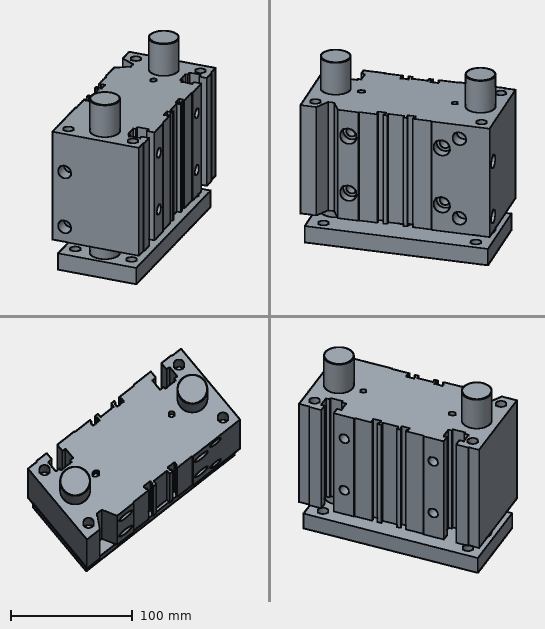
import cadquery as cq

PLATE_THICKNESS = 15.0
GAP = 13.0
HOUSING_HEIGHT = 99.0
ROD_PROJECTION = 29.5
HOUSING_BOTTOM = PLATE_THICKNESS + GAP
HOUSING_TOP = HOUSING_BOTTOM + HOUSING_HEIGHT
ROD_TOP = HOUSING_TOP + ROD_PROJECTION

HOUSING_WIDTH = 78.0
HOUSING_LENGTH = 162.0
PLATE_WIDTH = 70.0
PLATE_LENGTH = 157.0
SIDE_X = HOUSING_WIDTH / 2

RELIEF_DEPTH = 0.6
RELIEF_HALF_LENGTH = 31.5
END_RELIEF_START = 71.6

FLAT_DEPTH = 4.0
FLAT_HALF_LENGTH = 7.0
SENSOR_SLOT_Y = 12.8
SENSOR_MOUTH_WIDTH = 4.9
SENSOR_SLOT_WIDTH = 7.0
SENSOR_LIP_DEPTH = 2.6
SENSOR_SLOT_DEPTH = 5.8

GROOVE_Y = 58.2
GROOVE_MOUTH_WIDTH = 18.5
GROOVE_FLOOR_WIDTH = 5.2
GROOVE_DEPTH = 12.0

T_SLOT_Y = 55.0
T_NECK_WIDTH = 11.2
T_HEAD_WIDTH = 17.5
T_LIP_DEPTH = 6.8
T_HEAD_DEPTH = 16.8
T_SLOT_DEPTH = 18.8
T_HEAD_DRAFT = 0.6

ROD_DIAMETER = 25.0
ROD_Y = 62.0
ROD_POINTS = [(0, -ROD_Y), (0, ROD_Y)]
ROD_CHAMFER = 0.5
PISTON_ROD_DIAMETER = 20.0

CROSS_HOLE_Y = 40.0
CROSS_HOLE_HEIGHTS = (24.0, 76.0)
CROSS_HOLE_DIAMETER = 8.6
COUNTERBORE_DIAMETER = 14.0
COUNTERBORE_DEPTH = 9.0

PORT_DIAMETER = 11.5
PORT_DEPTH = 12.0
SIDE_PORT_Y = -55.0
SIDE_PORT_HEIGHTS = (13.8, 86.3)
END_PORT_X = -28.0
END_PORT_HEIGHTS = (13.8, 64.0)

CORNER_HOLE_X = 28.8
CORNER_HOLE_Y = 71.1
CORNER_HOLE_DIAMETER = 8.7
CORNER_HOLE_DEPTH = 25.0
PIN_HOLE_Y = 40.0
PIN_HOLE_DIAMETER = 5.0
PIN_SLOT_LENGTH = 6.0
PIN_SLOT_DEPTH = 5.0
PIN_HOLE_DEPTH = 10.0

PLATE_HOLE_X = 25.1
PLATE_HOLE_Y = 65.3
PLATE_HOLE_DIAMETER = 8.9


def prism(width, length, height, x, y, z):
    """Upright box centred on (x, y) that stands on height z."""
    return cq.Workplane("XY").box(width, length, height, centered=(True, True, False)).translate((x, y, z))


def side_pocket(side, depth, length, y):
    """Full-height pocket cut to a depth into one long side (side is -1 or 1)."""
    return prism(2 * depth, length, HOUSING_HEIGHT, side * SIDE_X, y, HOUSING_BOTTOM)


def vertical_cylinders(points, diameter, bottom, top):
    """Upright cylinders between two heights."""
    plane = cq.Workplane("XY", origin=(0, 0, bottom))
    return plane.pushPoints(points).circle(diameter / 2).extrude(top - bottom)


def cylinders_along_x(points, diameter, length):
    """Cylinders that enter the -X side; points are (y, height above the housing bottom)."""
    plane = cq.Workplane("YZ", origin=(-SIDE_X, 0, HOUSING_BOTTOM))
    return plane.pushPoints(points).circle(diameter / 2).extrude(length)


def lipped_slot(side, y, mouth_width, slot_width, lip_depth, slot_depth):
    """Full-height slot that widens behind a pair of lips."""
    mouth = side_pocket(side, slot_depth, mouth_width, y)
    head_depth = slot_depth - lip_depth
    head_x = side * (SIDE_X - lip_depth - head_depth / 2)
    return mouth.union(prism(head_depth, slot_width, HOUSING_HEIGHT, head_x, y, HOUSING_BOTTOM))


def upright_prism(outline):
    """Closed plan outline extruded over the full housing height."""
    return cq.Workplane("XY", origin=(0, 0, HOUSING_BOTTOM)).polyline(outline).close().extrude(HOUSING_HEIGHT)


def middle_relief(side):
    """Shallow relief along the middle of one long side, with ramped ends."""
    floor_x = side * (SIDE_X - RELIEF_DEPTH)
    floor_half_length = RELIEF_HALF_LENGTH - RELIEF_DEPTH
    return upright_prism([
        (side * SIDE_X, -RELIEF_HALF_LENGTH),
        (floor_x, -floor_half_length),
        (floor_x, floor_half_length),
        (side * SIDE_X, RELIEF_HALF_LENGTH),
    ])


def side_profile_cuts(housing):
    """Relief steps, central flat and sensor slots on both long sides."""
    for side in (-1, 1):
        housing = housing.cut(middle_relief(side))
        housing = housing.cut(side_pocket(side, FLAT_DEPTH, 2 * FLAT_HALF_LENGTH, 0))
        for y in (-SENSOR_SLOT_Y, SENSOR_SLOT_Y):
            housing = housing.cut(lipped_slot(
                side, y, SENSOR_MOUTH_WIDTH, SENSOR_SLOT_WIDTH, SENSOR_LIP_DEPTH, SENSOR_SLOT_DEPTH))
    end_relief_length = HOUSING_LENGTH / 2 - END_RELIEF_START
    end_relief_y = END_RELIEF_START + end_relief_length / 2
    for y in (-end_relief_y, end_relief_y):
        housing = housing.cut(side_pocket(1, RELIEF_DEPTH, end_relief_length, y))
    return housing


def tapered_groove():
    """Groove in the -X side that narrows towards its floor."""
    floor_x = -SIDE_X + GROOVE_DEPTH
    return upright_prism([
        (-SIDE_X, GROOVE_Y - GROOVE_MOUTH_WIDTH / 2),
        (floor_x, GROOVE_Y - GROOVE_FLOOR_WIDTH / 2),
        (floor_x, GROOVE_Y + GROOVE_FLOOR_WIDTH / 2),
        (-SIDE_X, GROOVE_Y + GROOVE_MOUTH_WIDTH / 2),
    ])


def mounting_t_slot(y):
    """T-slot in the +X side with a clearance channel behind its head, whose +Y wall leans out to the top."""
    slot = lipped_slot(1, y, T_NECK_WIDTH, T_HEAD_WIDTH, T_LIP_DEPTH, T_HEAD_DEPTH)
    slot = slot.union(side_pocket(1, T_SLOT_DEPTH, T_NECK_WIDTH, y))
    wall_y = y + T_HEAD_WIDTH / 2
    outline = [
        (y, HOUSING_BOTTOM),
        (wall_y, HOUSING_BOTTOM),
        (wall_y + T_HEAD_DRAFT, HOUSING_TOP),
        (y, HOUSING_TOP),
    ]
    lean = (
        cq.Workplane("YZ", origin=(SIDE_X - T_HEAD_DEPTH, 0, 0))
        .polyline(outline)
        .close()
        .extrude(T_HEAD_DEPTH - T_LIP_DEPTH)
    )
    return slot.union(lean)


def cross_holes():
    """Holes through the housing along X, counterbored from the -X side."""
    points = [(y, z) for y in (-CROSS_HOLE_Y, CROSS_HOLE_Y) for z in CROSS_HOLE_HEIGHTS]
    through = cylinders_along_x(points, CROSS_HOLE_DIAMETER, HOUSING_WIDTH)
    return through.union(cylinders_along_x(points, COUNTERBORE_DIAMETER, COUNTERBORE_DEPTH))


def air_ports():
    """Two blind ports in the -X side and two in the -Y end."""
    side_ports = cylinders_along_x([(SIDE_PORT_Y, z) for z in SIDE_PORT_HEIGHTS], PORT_DIAMETER, PORT_DEPTH)
    end_plane = cq.Workplane("XZ", origin=(0, -HOUSING_LENGTH / 2, HOUSING_BOTTOM))
    end_points = [(END_PORT_X, z) for z in END_PORT_HEIGHTS]
    return side_ports.union(end_plane.pushPoints(end_points).circle(PORT_DIAMETER / 2).extrude(-PORT_DEPTH))


def top_holes():
    """Blind corner holes and two pin holes in the top face, one opening into a short oblong slot."""
    corners = [(x, y) for x in (-CORNER_HOLE_X, CORNER_HOLE_X) for y in (-CORNER_HOLE_Y, CORNER_HOLE_Y)]
    holes = vertical_cylinders(corners, CORNER_HOLE_DIAMETER, HOUSING_TOP - CORNER_HOLE_DEPTH, HOUSING_TOP)
    pin_points = [(0, -PIN_HOLE_Y), (0, PIN_HOLE_Y)]
    pin_holes = vertical_cylinders(pin_points, PIN_HOLE_DIAMETER, HOUSING_TOP - PIN_HOLE_DEPTH, HOUSING_TOP)
    pin_slot = (
        cq.Workplane("XY", origin=(0, PIN_HOLE_Y, HOUSING_TOP - PIN_SLOT_DEPTH))
        .slot2D(PIN_SLOT_LENGTH, PIN_HOLE_DIAMETER, 90)
        .extrude(PIN_SLOT_DEPTH)
    )
    return holes.union(pin_holes).union(pin_slot)


def make_housing():
    """Cylinder housing with guide bores for the two rods."""
    housing = prism(HOUSING_WIDTH, HOUSING_LENGTH, HOUSING_HEIGHT, 0, 0, HOUSING_BOTTOM)
    housing = side_profile_cuts(housing)
    housing = housing.cut(tapered_groove())
    for y in (-T_SLOT_Y, T_SLOT_Y):
        housing = housing.cut(mounting_t_slot(y))
    housing = housing.cut(vertical_cylinders(ROD_POINTS, ROD_DIAMETER, HOUSING_BOTTOM, HOUSING_TOP))
    housing = housing.cut(cross_holes())
    housing = housing.cut(air_ports())
    return housing.cut(top_holes())


def make_carriage():
    """Tool plate with two guide rods and the piston rod, which meets the housing underside."""
    plate = prism(PLATE_WIDTH, PLATE_LENGTH, PLATE_THICKNESS, 0, 0, 0)
    corners = [(x, y) for x in (-PLATE_HOLE_X, PLATE_HOLE_X) for y in (-PLATE_HOLE_Y, PLATE_HOLE_Y)]
    guide_rods = vertical_cylinders(ROD_POINTS, ROD_DIAMETER, PLATE_THICKNESS, ROD_TOP)
    guide_rods = guide_rods.faces(">Z").chamfer(ROD_CHAMFER)
    piston_rod = vertical_cylinders([(0, 0)], PISTON_ROD_DIAMETER, PLATE_THICKNESS, HOUSING_BOTTOM)
    plate = plate.cut(vertical_cylinders(corners, PLATE_HOLE_DIAMETER, 0, PLATE_THICKNESS))
    return plate.union(guide_rods).union(piston_rod)


housing = make_housing()
carriage = make_carriage()
result = cq.Compound.makeCompound([housing.val(), carriage.val()])